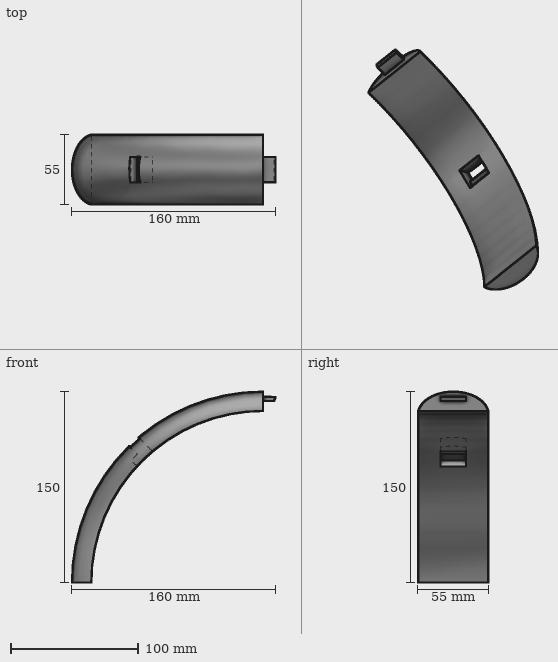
import cadquery as cq
import math

outer_radius = 150.0
inner_radius = 134.7
width = 55.0
dome_height = 18.7
sweep_angle = 90

tab_width = 20.0
tab_thickness = 3.7
tab_top = 146.2
tab_reach = 10.0
tab_tip_setback = 1.3
tab_tip_drop = 0.5

slot_length = 10.0
slot_offset = 6.5
slot_angle = 45
ledge_radius = 141.1
undercut_length = 6.9
cut_margin = 8

ellipse_centre = outer_radius - dome_height
side_height = inner_radius - ellipse_centre
ellipse_half_width = width / 2 / math.sqrt(1 - (side_height / dome_height) ** 2)


def make_arch():
    """Revolve the domed section a quarter turn from -X up to +Z."""
    side_angle = math.degrees(math.asin(side_height / dome_height))
    section_plane = cq.Plane(origin=(-ellipse_centre, 0, 0), xDir=(0, 1, 0), normal=(0, 0, 1))
    return (
        cq.Workplane(section_plane)
        .moveTo(width / 2, side_height)
        .ellipseArc(ellipse_half_width, dome_height, side_angle, 180 - side_angle, startAtCurrent=True)
        .close()
        .revolve(sweep_angle, (0, -ellipse_centre, 0), (1, -ellipse_centre, 0))
    )


def make_tab():
    """Tongue with an undercut tip, reaching past the upper end face."""
    tab_bottom = tab_top - tab_thickness
    return (
        cq.Workplane("XZ")
        .moveTo(0, tab_top)
        .lineTo(tab_reach, tab_top - tab_tip_drop)
        .lineTo(tab_reach - tab_tip_setback, tab_bottom)
        .lineTo(0, tab_bottom)
        .close()
        .extrude(tab_width / 2, both=True)
    )


def make_slot():
    """Rectangular cutter, widened towards the arch foot below a ledge."""
    upper_wall = slot_offset + slot_length / 2
    lower_wall = slot_offset - slot_length / 2
    undercut_wall = lower_wall - undercut_length
    outside = outer_radius + cut_margin
    inside = inner_radius - cut_margin
    return (
        cq.Workplane("XZ")
        .moveTo(-outside, upper_wall)
        .lineTo(-inside, upper_wall)
        .lineTo(-inside, undercut_wall)
        .lineTo(-ledge_radius, undercut_wall)
        .lineTo(-ledge_radius, lower_wall)
        .lineTo(-outside, lower_wall)
        .close()
        .extrude(tab_width / 2, both=True)
        .rotate((0, 0, 0), (0, 1, 0), slot_angle)
    )


result = make_arch().cut(make_slot()).union(make_tab())